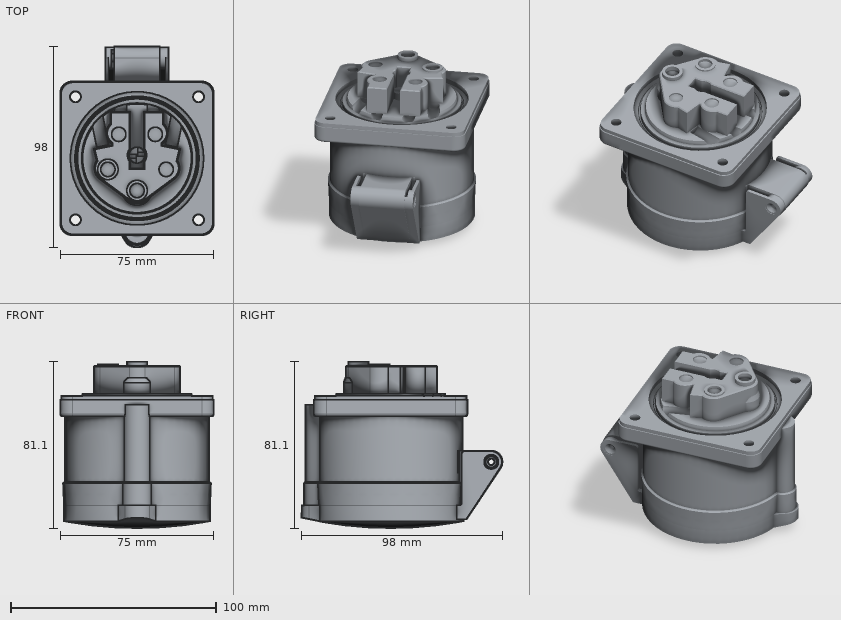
import cadquery as cq
import math


FLANGE_SIDE = 75.0
FLANGE_CORNER_R = 6.0
FLANGE_THICKNESS = 10.0
FLANGE_BOTTOM_FILLET = 1.3
FLANGE_TIER_HEIGHT = 2.0
FLANGE_TIER_INSET = 0.5
MOUNT_HOLE_D = 5.2
MOUNT_HOLE_PITCH = 60.0

SEAT_D = 65.0
SEAT_DEPTH = 2.5
GAP_OUTER_R = 30.3
GAP_DEPTH = 4.5
LIP_OUTER_R = 30.0
LIP_INNER_R = 29.5
LEDGE_D = 58.0
LEDGE_DEPTH = 1.0
DISK_TOP_D = 53.0
DISK_BASE_D = 54.0
DISK_TOP = 1.1

BODY_R = 35.2
COLLAR_R = 36.15
COLLAR_BASE_R = 35.7
COLLAR_START = -42.0
COLLAR_CHAMFER = 0.7
COLLAR_SPLIT = -53.4
BODY_BOTTOM = -64.5
DOME_R = 188.0

RIB_CENTRE_Y = -35.4
RIB_R = 6.2
RIB_TOP = -4.3
RIB_COLLAR_R = 6.9
LUG_R = 6.85
LUG_CENTRE_Y = -36.6
LUG_FLANK_ANGLE = 30.0
LUG_FLANK_LENGTH = 8.0

BLOCK_TOP = 14.6
BLOCK_EDGE = 0.5
ARM_END_Y = 22.7
ARM_OUTER_X = 13.1
LINE_X, LINE_Y = 8.9, 11.7
LINE_LOBE_X, LINE_LOBE_Y = 8.7, 12.3
LINE_LOBE_R = 6.3
SIDE_X, SIDE_Y = 14.2, -5.4
SIDE_LOBE_Y = -4.8
SIDE_LOBE_R = 6.6
SIDE_CORNER = (21.2, 4.7)
SIDE_WAIST = (19.7, -1.4)
WAIST_TOP = (12.3, 6.5)
EARTH_Y = -15.7
EARTH_LOBE_R = 6.3
CONTACT_D = 7.0
CONTACT_FLOOR = 13.85
BOSS_D = 10.0
NEUTRAL_BOSS_TOP = 15.4
EARTH_BOSS_TOP = 16.61
EARTH_BASE_R = 7.2
EARTH_BASE_TOP = 6.4
EARTH_CONE_HEIGHT = 2.5

SLOT_WIDTH = 6.6
SLOT_END_Y = -4.8
SCREW_Y = 1.55
SCREW_POCKET_D = 8.4
SCREW_HEAD_D = 7.8
SCREW_HEAD_TOP = 5.0
SCREW_QUADRANT_DEPTH = 0.4
SCREW_BITE_DEPTH = 1.2
SCREW_BITE_WIDTH = 1.9
SCREW_OFFSET_X = 0.4
SCREW_OFFSET_Y = 0.5

GROOVE_D = 6.0
GROOVE_AXIS_Z = DISK_TOP + 0.3
LINE_GROOVE_X = 8.0
SIDE_GROOVE_START = (16.7, 6.0)
SIDE_GROOVE_ANGLE = 11.6

HINGE_Y, HINGE_Z = 49.05, -32.2
HINGE_R = 5.5
HINGE_LUG_R = 5.2
HINGE_HALF_WIDTH = 15.45
HINGE_WALL = 1.55
HINGE_CORE_HALF_WIDTH = 11.2
HINGE_FOOT_Y = 37.0
HINGE_FOOT_Z = -60.2
HINGE_BACK_Y = 34.6
HINGE_BACK_CORNER_R = 1.5
HINGE_STEP_Z = -53.3
HINGE_STEP_R = 1.0
HINGE_PAD_Y = 33.4
HINGE_PAD_BOTTOM = -37.5
HINGE_PAD_HALF_WIDTH = 13.0
HINGE_FLOOR_WALL = 1.6
SPRING_NOTCH_WIDTH = 1.4
SPRING_NOTCH_END_Y = 53.0
SPRING_NOTCH_DROP = 2.0
SPRING_SLEEVE_D = 4.0
HINGE_HOLE_D = 3.0
HINGE_RECESS_D = 7.0
HINGE_RECESS_DEPTH = 0.2
HINGE_SINK_D = 5.5
HINGE_SINK_DEPTH = 1.2


def cylinder(radius, bottom, top, x=0.0, y=0.0):
    """Upright cylinder between two heights."""
    return cq.Workplane("XY", origin=(x, y, bottom)).circle(radius).extrude(top - bottom)


def prism(points, bottom, top):
    """Upright prism over a polygon."""
    return cq.Workplane("XY").workplane(offset=bottom).polyline(points).close().extrude(top - bottom)


def both_sides(shape):
    """A shape together with its mirror image across the YZ plane."""
    return shape.union(shape.mirror("YZ"))


def tangent_points(centre, other, radius, other_radius, side):
    """Points where a common outer tangent touches two circles."""
    dx, dy = other[0] - centre[0], other[1] - centre[1]
    angle = math.atan2(dy, dx) + side * math.acos((radius - other_radius) / math.hypot(dx, dy))
    ux, uy = math.cos(angle), math.sin(angle)
    return (
        (centre[0] + radius * ux, centre[1] + radius * uy),
        (other[0] + other_radius * ux, other[1] + other_radius * uy),
    )


def make_flange():
    base = (
        cq.Workplane("XY", origin=(0, 0, -FLANGE_THICKNESS))
        .rect(FLANGE_SIDE, FLANGE_SIDE)
        .extrude(FLANGE_THICKNESS - FLANGE_TIER_HEIGHT)
        .edges("|Z").fillet(FLANGE_CORNER_R)
        .faces("<Z").edges().fillet(FLANGE_BOTTOM_FILLET)
    )
    tier_side = FLANGE_SIDE - 2 * FLANGE_TIER_INSET
    tier = (
        cq.Workplane("XY", origin=(0, 0, -FLANGE_TIER_HEIGHT))
        .rect(tier_side, tier_side)
        .extrude(FLANGE_TIER_HEIGHT)
        .edges("|Z").fillet(FLANGE_CORNER_R - FLANGE_TIER_INSET)
    )
    return base.union(tier)


def cut_mount_holes(part):
    holes = (
        cq.Workplane("XY", origin=(0, 0, -FLANGE_THICKNESS))
        .rect(MOUNT_HOLE_PITCH, MOUNT_HOLE_PITCH, forConstruction=True)
        .vertices()
        .circle(MOUNT_HOLE_D / 2)
        .extrude(FLANGE_THICKNESS)
    )
    return part.cut(holes)


def make_housing():
    profile = [
        (0, -GAP_DEPTH),
        (BODY_R, -GAP_DEPTH),
        (BODY_R, COLLAR_START),
        (COLLAR_R, COLLAR_START - COLLAR_CHAMFER),
        (COLLAR_BASE_R, COLLAR_SPLIT),
        (COLLAR_BASE_R, BODY_BOTTOM),
        (0, BODY_BOTTOM),
    ]
    return cq.Workplane("XZ").polyline(profile).close().revolve(360, (0, 0), (0, 1))


def make_rib():
    upper = cylinder(RIB_R, BODY_BOTTOM, RIB_TOP, y=RIB_CENTRE_Y)
    collar = cylinder(RIB_COLLAR_R, BODY_BOTTOM, COLLAR_START, y=RIB_CENTRE_Y)
    collar = collar.faces(">Z").edges().chamfer(COLLAR_CHAMFER)
    flare = math.radians(LUG_FLANK_ANGLE)
    nose_x = LUG_R * math.cos(flare)
    nose_y = LUG_CENTRE_Y - LUG_R * math.sin(flare)
    root_x = nose_x + LUG_FLANK_LENGTH * math.sin(flare)
    root_y = nose_y + LUG_FLANK_LENGTH * math.cos(flare)
    lug = (
        cq.Workplane("XY", origin=(0, 0, BODY_BOTTOM))
        .moveTo(-root_x, root_y)
        .lineTo(-nose_x, nose_y)
        .threePointArc((0, LUG_CENTRE_Y - LUG_R), (nose_x, nose_y))
        .lineTo(root_x, root_y)
        .close()
        .extrude(COLLAR_SPLIT - BODY_BOTTOM)
    )
    return upper.union(collar).union(lug)


def round_bottom(part):
    """Trim everything outside the large sphere that forms the domed bottom."""
    sphere = cq.Workplane("XY").sphere(DOME_R).translate((0, 0, BODY_BOTTOM + DOME_R))
    return part.intersect(sphere)


def make_seat_cut():
    seat = cylinder(SEAT_D / 2, -SEAT_DEPTH, 0)
    gap = cylinder(GAP_OUTER_R, -GAP_DEPTH, 0).cut(cylinder(LEDGE_D / 2, -GAP_DEPTH, 0))
    lip = cylinder(LIP_OUTER_R, -GAP_DEPTH, -SEAT_DEPTH)
    lip = lip.cut(cylinder(LIP_INNER_R, -GAP_DEPTH, -SEAT_DEPTH))
    ledge = cylinder(LEDGE_D / 2, -SEAT_DEPTH, -LEDGE_DEPTH)
    ledge = ledge.cut(cylinder(DISK_BASE_D / 2, -SEAT_DEPTH, -LEDGE_DEPTH))
    return seat.union(gap).cut(lip).cut(ledge)


def make_disk():
    disk_r = DISK_TOP_D / 2
    base_r = DISK_BASE_D / 2
    profile = [
        (0, -SEAT_DEPTH),
        (base_r, -SEAT_DEPTH),
        (base_r, -LEDGE_DEPTH),
        (disk_r, DISK_TOP),
        (0, DISK_TOP),
    ]
    return cq.Workplane("XZ").polyline(profile).close().revolve(360, (0, 0), (0, 1))


def make_groove(x, y, angle, diameter, length):
    """Round-bottomed groove in the disk face, running from a start point at an angle to +Y."""
    lean = math.radians(angle)
    direction = cq.Vector(math.sin(lean), math.cos(lean), 0)
    start = cq.Vector(x, y, GROOVE_AXIS_Z)
    return cq.Workplane(cq.Solid.makeCylinder(diameter / 2, length, start, direction))


def cut_grooves(disk):
    side_x, side_y = SIDE_GROOVE_START
    for side in (-1, 1):
        disk = disk.cut(make_groove(side * LINE_GROOVE_X, LINE_Y, 0, GROOVE_D, DISK_BASE_D))
        disk = disk.cut(make_groove(side * side_x, side_y, side * SIDE_GROOVE_ANGLE, GROOVE_D, DISK_BASE_D))
    return disk.cut(make_groove(0, SLOT_END_Y, 0, SLOT_WIDTH, SCREW_Y - SLOT_END_Y))


def make_block():
    side = (SIDE_X, SIDE_LOBE_Y)
    earth = (0.0, EARTH_Y)
    side_touch, earth_touch = tangent_points(side, earth, SIDE_LOBE_R, EARTH_LOBE_R, 1)
    base, top = DISK_TOP, BLOCK_TOP
    arm_outline = [(0, LINE_LOBE_Y), (ARM_OUTER_X, LINE_LOBE_Y), (ARM_OUTER_X, ARM_END_Y), (0, ARM_END_Y)]
    arm = prism(arm_outline, base, top)
    core_outline = [
        (0, LINE_LOBE_Y),
        (WAIST_TOP[0], LINE_LOBE_Y),
        WAIST_TOP,
        SIDE_CORNER,
        SIDE_WAIST,
        side_touch,
        earth_touch,
        earth,
    ]
    core = prism(core_outline, base, top)
    half = (
        arm.union(core)
        .union(cylinder(LINE_LOBE_R, base, top, LINE_LOBE_X, LINE_LOBE_Y))
        .union(cylinder(SIDE_LOBE_R, base, top, *side))
    )
    block = both_sides(half).union(cylinder(EARTH_LOBE_R, base, top, 0, EARTH_Y))
    slot_length = ARM_END_Y - SLOT_END_Y
    slot = (
        cq.Workplane("XY", origin=(0, SLOT_END_Y + slot_length / 2, base))
        .rect(SLOT_WIDTH, slot_length)
        .extrude(top - base)
    )
    block = block.cut(slot).cut(cylinder(SCREW_POCKET_D / 2, base, top, 0, SCREW_Y))
    return block.clean().faces(">Z").edges().chamfer(BLOCK_EDGE)


def add_contacts(part):
    earth_base = cylinder(EARTH_BASE_R, DISK_TOP, EARTH_BASE_TOP + EARTH_CONE_HEIGHT, 0, EARTH_Y)
    cone_inset = EARTH_BASE_R - EARTH_LOBE_R
    earth_base = earth_base.faces(">Z").chamfer(EARTH_CONE_HEIGHT, cone_inset)
    part = part.union(earth_base)
    part = part.union(cylinder(BOSS_D / 2, DISK_TOP, NEUTRAL_BOSS_TOP, -SIDE_X, SIDE_Y))
    part = part.union(cylinder(BOSS_D / 2, DISK_TOP, EARTH_BOSS_TOP, 0, EARTH_Y))
    contacts = [(-LINE_X, LINE_Y), (LINE_X, LINE_Y), (-SIDE_X, SIDE_Y), (SIDE_X, SIDE_Y), (0, EARTH_Y)]
    for x, y in contacts:
        part = part.cut(cylinder(CONTACT_D / 2, CONTACT_FLOOR, EARTH_BOSS_TOP, x, y))
    return part


def make_screw():
    """One-way screw head: two opposite quadrants sunk, each with a deeper driving bite."""
    head_r = SCREW_HEAD_D / 2
    head = cylinder(head_r, DISK_TOP, SCREW_HEAD_TOP, 0, 0)
    corner = (SCREW_OFFSET_X, -SCREW_OFFSET_Y, SCREW_HEAD_TOP)
    quadrant = cq.Workplane("XY", origin=corner).rect(head_r, 2 * head_r, centered=False)
    bite = cq.Workplane("XY", origin=corner).rect(head_r, SCREW_BITE_WIDTH, centered=False)
    sunk = quadrant.extrude(-SCREW_QUADRANT_DEPTH).union(bite.extrude(-SCREW_BITE_DEPTH))
    for turn in (0, 180):
        head = head.cut(sunk.rotate((0, 0, 0), (0, 0, 1), turn))
    return head.translate((0, SCREW_Y, 0))


def along_x(points, half_width):
    """Prism over a YZ polygon, centred on the YZ plane."""
    return cq.Workplane("YZ").polyline(points).close().extrude(half_width, both=True)


def hinge_cylinder(radius, half_width):
    """Cylinder around the hinge pin axis."""
    return cq.Workplane("YZ").center(HINGE_Y, HINGE_Z).circle(radius).extrude(half_width, both=True)


def hinge_plate(radius, half_width):
    """Hinge outline in the YZ plane: barrel, flat top and sloping underside running to the foot."""
    foot = (HINGE_FOOT_Y, HINGE_FOOT_Z)
    pin = (HINGE_Y, HINGE_Z)
    barrel_touch, foot_touch = tangent_points(pin, foot, radius, 0.0, 1)
    top = HINGE_Z + radius
    outline = [(HINGE_Y, top), pin, barrel_touch, foot_touch, (0, HINGE_FOOT_Z), (0, top)]
    return along_x(outline, half_width).union(hinge_cylinder(radius, half_width))


def make_spring_notch():
    """Notch beside the -X end of the hinge core, leaving a thin sleeve around the pin."""
    length = SPRING_NOTCH_END_Y - (HINGE_Y - HINGE_LUG_R)
    depth = HINGE_R + SPRING_NOTCH_DROP
    notch = (
        cq.Workplane("XY", origin=(-HINGE_CORE_HALF_WIDTH, SPRING_NOTCH_END_Y, HINGE_Z - SPRING_NOTCH_DROP))
        .rect(-SPRING_NOTCH_WIDTH, -length, centered=False)
        .extrude(depth)
    )
    return notch.cut(hinge_cylinder(SPRING_SLEEVE_D / 2, HINGE_HALF_WIDTH))


def make_hinge():
    top = HINGE_Z + HINGE_R
    plates = hinge_plate(HINGE_LUG_R, HINGE_HALF_WIDTH)
    clearance_height = HINGE_Z + HINGE_LUG_R - HINGE_STEP_Z
    clearance = (
        cq.Workplane("XY", origin=(0, 0, HINGE_STEP_Z))
        .rect(2 * HINGE_HALF_WIDTH, 2 * HINGE_BACK_Y)
        .extrude(clearance_height)
        .faces("<Z").edges(">Y").fillet(HINGE_STEP_R)
    )
    plates = plates.cut(clearance)
    plates = plates.edges("|X").edges(">Z").edges("<Y").fillet(HINGE_BACK_CORNER_R)

    channel_end_y = HINGE_Y - HINGE_R
    slope = (HINGE_Z - HINGE_R - HINGE_FOOT_Z) / (channel_end_y - HINGE_FOOT_Y)
    floor_rise = HINGE_FLOOR_WALL * math.hypot(1, slope)
    channel = [
        (0, top),
        (HINGE_Y, top),
        (HINGE_Y, HINGE_Z),
        (channel_end_y, HINGE_Z - HINGE_R + floor_rise),
        (HINGE_FOOT_Y, HINGE_FOOT_Z + floor_rise),
        (0, HINGE_FOOT_Z + floor_rise),
    ]
    channel_half_width = HINGE_HALF_WIDTH - HINGE_WALL
    barrel = hinge_cylinder(HINGE_LUG_R, channel_half_width)
    plates = plates.cut(along_x(channel, channel_half_width).cut(barrel))

    core = hinge_plate(HINGE_R, HINGE_CORE_HALF_WIDTH)
    pad_outline = [(0, top), (HINGE_PAD_Y, top), (HINGE_PAD_Y, HINGE_PAD_BOTTOM), (0, HINGE_PAD_BOTTOM)]
    pad = along_x(pad_outline, HINGE_PAD_HALF_WIDTH)
    return plates.union(core).union(pad).cut(make_spring_notch())


def cut_hinge_pin(part):
    hole_r, sink_r, recess_r = HINGE_HOLE_D / 2, HINGE_SINK_D / 2, HINGE_RECESS_D / 2
    recess_x = HINGE_HALF_WIDTH - HINGE_RECESS_DEPTH
    profile = [
        (0, 0),
        (0, hole_r),
        (recess_x - HINGE_SINK_DEPTH, hole_r),
        (recess_x, sink_r),
        (recess_x, recess_r),
        (HINGE_HALF_WIDTH, recess_r),
        (HINGE_HALF_WIDTH, 0),
    ]
    half = cq.Workplane("XY").polyline(profile).close().revolve(360, (0, 0), (1, 0))
    return part.cut(both_sides(half).translate((0, HINGE_Y, HINGE_Z)))


shell = make_housing().union(make_rib()).union(make_flange())
shell = cut_mount_holes(shell).cut(make_seat_cut())
shell = shell.union(make_hinge())
shell = round_bottom(shell)
shell = cut_hinge_pin(shell)

insert = cut_grooves(make_disk())
insert = insert.union(make_block())
insert = add_contacts(insert).union(make_screw())

result = shell.union(insert)